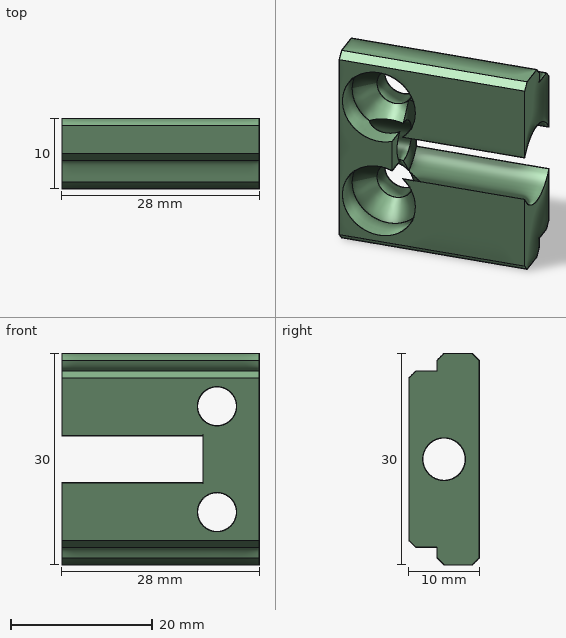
import cadquery as cq

length = 28.0
thickness = 10.0
height = 30.0

step_height = 2.5
step_y = -1.0
edge_chamfer = 1.0

bore_diameter = 12.0
bore_depth = 20.0
through_diameter = 6.0

screw_diameter = 5.5
screw_x = 22.0
screw_spacing = 15.0
head_diameter = 11.0
head_depth = 4.0

half_thickness = thickness / 2
half_height = height / 2


def make_body():
    """Block with the stepped and chamfered profile, extruded along X."""
    shoulder = half_height - step_height
    upper_profile = [
        (half_thickness, half_height - edge_chamfer),
        (half_thickness - edge_chamfer, half_height),
        (step_y + edge_chamfer, half_height),
        (step_y, half_height - edge_chamfer),
        (step_y, shoulder),
        (-half_thickness + edge_chamfer, shoulder),
        (-half_thickness, shoulder - edge_chamfer),
    ]
    lower_profile = [(y, -z) for y, z in reversed(upper_profile)]
    return cq.Workplane("YZ").polyline(upper_profile + lower_profile).close().extrude(length)


def make_bore():
    """Large blind bore plus the smaller hole that continues through the end wall."""
    bore = cq.Workplane("YZ").circle(bore_diameter / 2).extrude(bore_depth)
    through_hole = cq.Workplane("YZ").circle(through_diameter / 2).extrude(length)
    return bore.union(through_hole)


def make_screw_hole(z):
    """Through hole with a 90 degree cone and a straight head recess, revolved about Y."""
    hole_radius = screw_diameter / 2
    head_radius = head_diameter / 2
    cone_top = half_thickness - head_depth
    cone_bottom = cone_top - (head_radius - hole_radius)
    half_section = [
        (0, -half_thickness),
        (hole_radius, -half_thickness),
        (hole_radius, cone_bottom),
        (head_radius, cone_top),
        (head_radius, half_thickness),
        (0, half_thickness),
    ]
    cutter = cq.Workplane("XY").polyline(half_section).close().revolve(360, (0, 0, 0), (0, 1, 0))
    return cutter.translate((screw_x, 0, z))


result = make_body().cut(make_bore())
for screw_z in (-screw_spacing / 2, screw_spacing / 2):
    result = result.cut(make_screw_hole(screw_z))